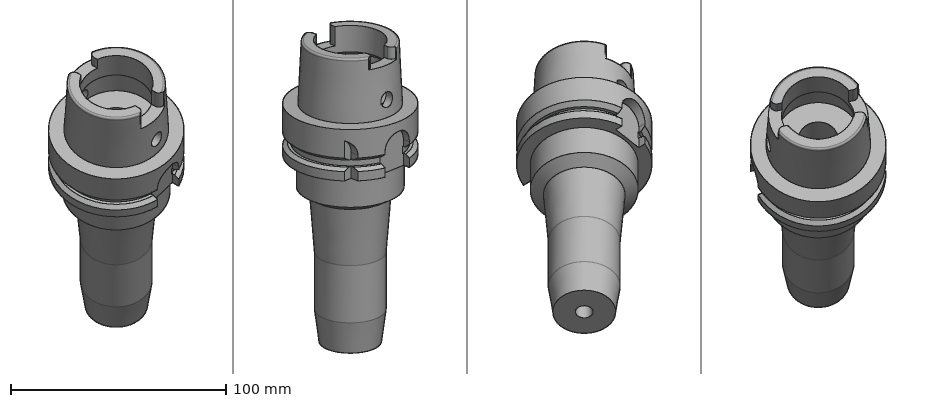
import cadquery as cq

total_height = 152.0
nose_top_z = 16.3
neck_bottom_z = 45.1
neck_top_z = 74.5
collar_chamfer_z = 78.1
flange_bottom_z = 94.1
flange_top_z = 120.1
groove_bottom_z = 100.2
groove_top_z = 103.7
groove_bottom_chamfer = 1.4
groove_top_chamfer = 2.0

nose_radius = 14.6
shank_radius = 16.7
neck_radius = 19.0
collar_radius = 25.1
flange_radius = 31.5
groove_radius = 27.7
groove_bottom_lip_radius = 29.2
groove_top_lip_radius = 29.0
taper_base_radius = 24.3
taper_top_radius = 22.8
rim_fillet = 1.0

mouth_radius = 17.0
mouth_depth = 13.4
undercut_radius = 19.8
undercut_bevel = 2.3
undercut_floor_z = 125.0
thread_bore_radius = 9.1
thread_bore_depth = 15.2
coolant_radius = 4.1
cross_hole_radius = 3.8
cross_hole_z = 128.9

notch_half_width = 6.2
left_notch_depth = 6.1
right_notch_depth = 9.7
notch_corner_fillet = 2.7

slot_radius = 8.0
slot_top_z = 115.2
slot_floor_x = 26.6
corner_slot_floor_x = 19.9
corner_slot_side_y = 19.9

CUT_LENGTH = 45.6


def revolved(points):
    """Solid of revolution about Z from (radius, z) points."""
    return cq.Workplane("XZ").polyline(points).close().revolve(360, (0, 0), (0, 1))


def outer_body():
    body = revolved([
        (0, 0),
        (nose_radius, 0),
        (shank_radius, nose_top_z),
        (shank_radius, neck_bottom_z),
        (neck_radius, neck_top_z),
        (collar_radius, collar_chamfer_z),
        (collar_radius, flange_bottom_z),
        (flange_radius, flange_bottom_z),
        (flange_radius, groove_bottom_z - groove_bottom_chamfer),
        (groove_bottom_lip_radius, groove_bottom_z),
        (groove_radius, groove_bottom_z),
        (groove_radius, groove_top_z),
        (groove_top_lip_radius, groove_top_z),
        (flange_radius, groove_top_z + groove_top_chamfer),
        (flange_radius, flange_top_z),
        (taper_base_radius, flange_top_z),
        (taper_top_radius, total_height),
        (0, total_height),
    ])
    return body.faces(">Z").edges().fillet(rim_fillet)


def inner_bores():
    mouth_bottom_z = total_height - mouth_depth
    thread_bottom_z = undercut_floor_z - thread_bore_depth
    return revolved([
        (0, 0),
        (coolant_radius, 0),
        (coolant_radius, thread_bottom_z),
        (thread_bore_radius, thread_bottom_z),
        (thread_bore_radius, undercut_floor_z),
        (undercut_radius, undercut_floor_z),
        (undercut_radius, mouth_bottom_z - undercut_bevel),
        (mouth_radius, mouth_bottom_z),
        (mouth_radius, total_height),
        (0, total_height),
    ])


def drive_notch(side, depth):
    """Rim notch on the -X (side=-1) or +X (side=1) side, flared by rounds at the outer corners."""
    radius = notch_corner_fillet
    round_y = notch_half_width + radius
    flare_x = ((taper_top_radius - radius) ** 2 - round_y ** 2) ** 0.5
    straight = (
        cq.Workplane("XY", origin=(0, 0, total_height - depth))
        .rect(CUT_LENGTH, 2 * notch_half_width)
        .extrude(depth)
        .translate((side * CUT_LENGTH / 2, 0, 0))
    )
    flare = (
        cq.Workplane("XY", origin=(side * flare_x, 0, total_height - depth))
        .rect(2 * radius, 2 * round_y)
        .extrude(depth)
        .translate((side * radius, 0, 0))
    )
    rounds = (
        cq.Workplane("XY", origin=(side * flare_x, 0, total_height - depth))
        .pushPoints([(0, -round_y), (0, round_y)])
        .circle(radius)
        .extrude(depth)
    )
    return straight.union(flare.cut(rounds))


def round_topped_slot(floor_x, center_y):
    """Slot with its flat floor at x = -floor_x, open toward -X and at the flange underside."""
    arc_z = slot_top_z - slot_radius
    return (
        cq.Workplane("YZ", origin=(-floor_x, center_y, 0))
        .moveTo(-slot_radius, flange_bottom_z)
        .lineTo(-slot_radius, arc_z)
        .threePointArc((0, slot_top_z), (slot_radius, arc_z))
        .lineTo(slot_radius, flange_bottom_z)
        .close()
        .extrude(-CUT_LENGTH)
    )


drive_slot = round_topped_slot(slot_floor_x, 0)

cross_hole = (
    cq.Workplane("YZ", origin=(0, 0, cross_hole_z))
    .circle(cross_hole_radius)
    .extrude(CUT_LENGTH, both=True)
)

result = (
    outer_body()
    .cut(inner_bores())
    .cut(drive_notch(-1, left_notch_depth))
    .cut(drive_notch(1, right_notch_depth))
    .cut(cross_hole)
    .cut(drive_slot)
    .cut(drive_slot.rotate((0, 0, 0), (0, 0, 1), 180))
    .cut(round_topped_slot(corner_slot_floor_x, corner_slot_side_y + slot_radius))
)